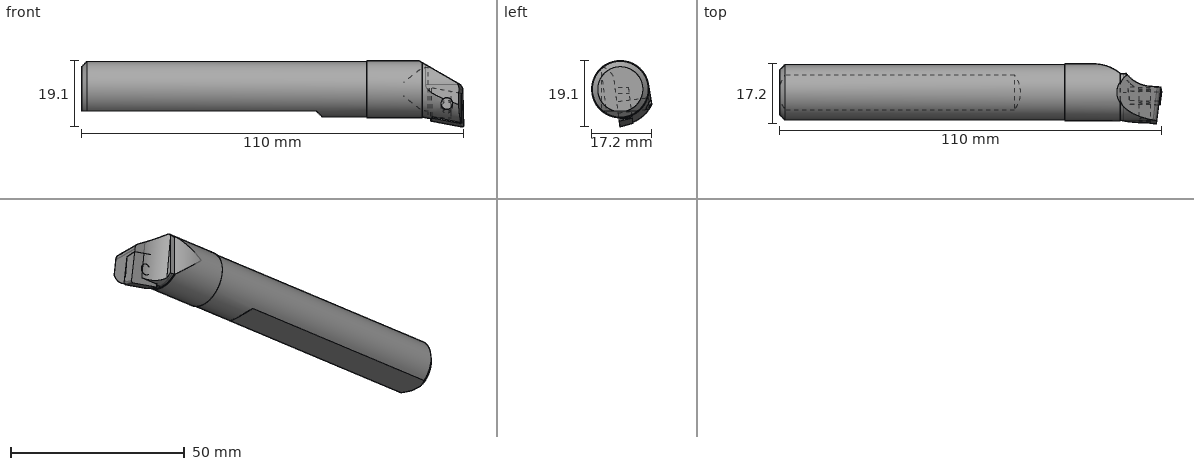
import cadquery as cq
import math


overall_length = 110

shank_radius = 8.0
shank_end = 82.0
rear_chamfer = 1.5
flat_depth = 6.3
flat_length = 67.5

head_radius = 8.2
head_end = 98.1
head_edge_chamfer = 0.2

nose_step = 0.16
flare_angle = 11
flat_tilt = 9.5
slope_start = 97.0
slope_angle = 30
slope_fillet = 2.2
end_x = 109.6
end_relief = 7

taper_start = 90.2
taper_mid = (94.8, 7.4)
taper_end_y = 5.4
gullet_start = (99.7, 3.3)
gullet_mid = (101.6, 1.4)
gullet_end_x = 106.3

rake_tilt = 7
tip_y = 0.1
tip_z = -11
insert_side = 9.8
insert_thickness = 3.8
insert_clearance = 7
side_lean = 1.5
bottom_rise = 10.8
tip_radius = 0.5

screw_radius = 1.6
screw_length = 9.1

reach = 22

side_angle = math.radians(90 + side_lean)
bottom_angle = math.radians(180 - bottom_rise)

corner_half_angle = (bottom_angle - side_angle) / 2
corner_direction = (bottom_angle + side_angle) / 2
round_center_x = tip_radius / math.sin(corner_half_angle) * math.cos(corner_direction)
tip = (overall_length - round_center_x - tip_radius, tip_y, tip_z)

rake_sin = math.sin(math.radians(rake_tilt))
rake_cos = math.cos(math.radians(rake_tilt))
rake_plane = cq.Plane(origin=tip, xDir=(1, 0, 0), normal=(0, -rake_cos, rake_sin))

side_vector = (insert_side * math.cos(side_angle), insert_side * math.sin(side_angle))
bottom_vector = (insert_side * math.cos(bottom_angle), insert_side * math.sin(bottom_angle))
far_corner = (side_vector[0] + bottom_vector[0], side_vector[1] + bottom_vector[1])


def round_section(x):
    """Workplane square to the bar's axis, with the start of each circle at the top."""
    return cq.Workplane(cq.Plane(origin=(x, 0, 0), xDir=(0, 0, 1), normal=(1, 0, 0)))


def make_shank():
    shank = round_section(0).circle(shank_radius).extrude(shank_end)
    shank = shank.faces("<X").chamfer(rear_chamfer)
    run_out = shank_radius - flat_depth
    below_flat = (
        cq.Workplane("XZ")
        .moveTo(0, -flat_depth)
        .lineTo(flat_length, -flat_depth)
        .lineTo(flat_length + run_out, -shank_radius)
        .lineTo(0, -shank_radius)
        .close()
        .extrude(reach, both=True)
    )
    return shank.cut(below_flat)


def make_head():
    head = round_section(shank_end).circle(head_radius).extrude(head_end - shank_end)
    return head.edges("%CIRCLE").chamfer(head_edge_chamfer)


def make_nose():
    length = overall_length - head_end
    start_radius = head_radius - nose_step
    end_radius = start_radius + length * math.tan(math.radians(flare_angle))
    cone = (
        round_section(head_end)
        .circle(start_radius)
        .workplane(offset=length)
        .circle(end_radius)
        .loft(ruled=True)
    )
    flat_sin = math.sin(math.radians(flat_tilt))
    flat_cos = math.cos(math.radians(flat_tilt))
    flat_top = (-head_radius * flat_cos, head_radius * flat_sin)
    outline = (
        cq.Workplane("YZ", origin=(head_end, 0, 0))
        .moveTo(*flat_top)
        .threePointArc((head_radius, 0), (0, -head_radius))
        .lineTo(0, -reach)
        .lineTo(flat_top[0] - reach * flat_sin, flat_top[1] - reach * flat_cos)
        .close()
        .extrude(length)
    )
    return cone.intersect(outline)


def slope_cutter():
    drop = reach * math.tan(math.radians(slope_angle))
    return (
        cq.Workplane("XZ")
        .moveTo(slope_start, head_radius)
        .lineTo(slope_start + reach, head_radius - drop)
        .lineTo(slope_start + reach, head_radius)
        .close()
        .extrude(reach, both=True)
    )


def end_cutter():
    shift = reach * math.tan(math.radians(end_relief))
    return (
        cq.Workplane("XY")
        .moveTo(end_x - shift, -reach)
        .lineTo(end_x + shift, reach)
        .lineTo(end_x + reach, reach)
        .lineTo(end_x + reach, -reach)
        .close()
        .extrude(reach, both=True)
    )


def taper_cutter():
    """Convex taper on the +Y side of the head."""
    return (
        cq.Workplane("XY")
        .moveTo(taper_start, head_radius)
        .threePointArc(taper_mid, (head_end, taper_end_y))
        .lineTo(gullet_start[0], taper_end_y)
        .lineTo(gullet_start[0], head_radius)
        .close()
        .extrude(reach, both=True)
    )


def gullet_cutter():
    """Concave sweep down to the rake plane, and everything on the +Y side of that plane."""
    across_rake = cq.Plane(origin=(0, tip_y, tip_z), xDir=(1, 0, 0), normal=(0, rake_sin, rake_cos))
    return (
        cq.Workplane(across_rake)
        .moveTo(*gullet_start)
        .threePointArc(gullet_mid, (gullet_end_x, 0))
        .lineTo(overall_length + reach, 0)
        .lineTo(overall_length + reach, reach)
        .lineTo(gullet_start[0], reach)
        .close()
        .extrude(reach)
    )


def make_insert_blank():
    """Insert without its screw hole; the flanks draw in away from the rake plane."""
    blank = (
        cq.Workplane(rake_plane)
        .polyline([(0, 0), side_vector, far_corner, bottom_vector])
        .close()
        .extrude(insert_thickness, taper=insert_clearance)
    )
    inset = insert_thickness / 2 * math.tan(math.radians(insert_clearance))
    tip_edge = rake_plane.toWorldCoords((-inset, inset, insert_thickness / 2))
    return blank.edges(cq.selectors.NearestToPointSelector(tip_edge.toTuple())).fillet(tip_radius)


def screw_cylinder(length):
    """Cylinder square to the rake plane at the middle of the insert."""
    return (
        cq.Workplane(rake_plane)
        .center(far_corner[0] / 2, far_corner[1] / 2)
        .circle(screw_radius)
        .extrude(length)
    )


def make_bar(insert_blank, screw_hole):
    front = make_head().union(make_nose()).cut(slope_cutter()).cut(end_cutter())
    slope_end_z = head_radius - (end_x - slope_start) * math.tan(math.radians(slope_angle))
    slope_edge = cq.selectors.NearestToPointSelector((end_x, 0, slope_end_z))
    front = front.edges(slope_edge).fillet(slope_fillet)
    front = front.cut(taper_cutter()).cut(gullet_cutter())
    return make_shank().union(front).cut(insert_blank).cut(screw_hole)


insert_blank = make_insert_blank()
screw_hole = screw_cylinder(reach)
bar = make_bar(insert_blank, screw_hole)
insert = insert_blank.cut(screw_hole)
screw = screw_cylinder(screw_length)

result = cq.Compound.makeCompound([bar.val(), insert.val(), screw.val()])